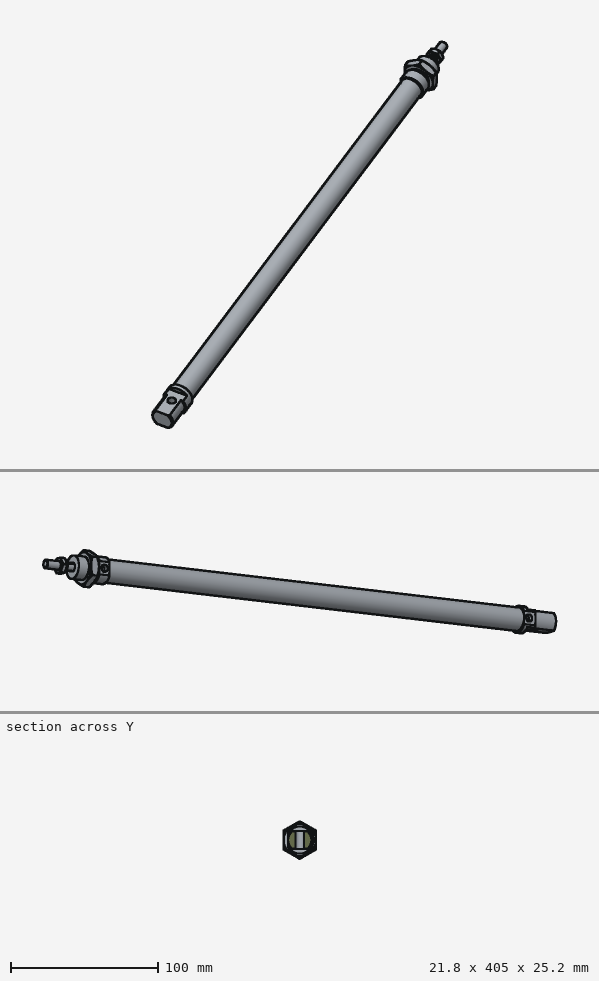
import cadquery as cq
import math

TOTAL_LENGTH = 405.0
TIP_Y = TOTAL_LENGTH / 2

ROD_DIAMETER = 6.0
ROD_TIP_CHAMFER = 0.5
ROD_THREAD_LENGTH = 16.0
ROD_RELIEF_LENGTH = 1.2
ROD_RELIEF_DIAMETER = 5.3
ROD_FLATS_WIDTH = 5.0
ROD_FLATS_FROM_TIP = ROD_THREAD_LENGTH
ROD_FLATS_LENGTH = 4.5
ROD_FLATS_TILT = 25.0

ROD_NUT_FROM_TIP = 10.5
ROD_NUT_THICKNESS = 3.5
ROD_NUT_ACROSS_FLATS = 10.0
ROD_NUT_CORNER_ANGLE = 0.0

NOSE_FROM_TIP = 22.0
NOSE_DIAMETER = 16.0
TUBE_DIAMETER = 16.0
COLLAR_DIAMETER = 18.5
FRONT_COLLAR_FROM_TIP = 38.5
FRONT_COLLAR_LENGTH = 8.0
REAR_COLLAR_FROM_TIP = 378.5
REAR_COLLAR_LENGTH = 9.5

TAIL_FROM_TIP = REAR_COLLAR_FROM_TIP + REAR_COLLAR_LENGTH
TAIL_DIAMETER = NOSE_DIAMETER
TAIL_CHAMFER = 1.0
TAIL_FLATS_WIDTH = 12.0
TAIL_FLATS_FROM_TIP = 382.5
TAIL_HOLE_DIAMETER = 5.5
TAIL_HOLE_FROM_TIP = 391.2

PORT_FACE_X = -TUBE_DIAMETER / 2
PORT_DIAMETER = 5.0
PORT_DEPTH = 4.0
FRONT_PORT_FROM_TIP = FRONT_COLLAR_FROM_TIP + FRONT_COLLAR_LENGTH / 2
REAR_PORT_FROM_TIP = 382.7

MOUNTING_NUT_FROM_TIP = 30.0
MOUNTING_NUT_THICKNESS = 6.0
MOUNTING_NUT_WALL = 2.9
MOUNTING_NUT_ACROSS_FLATS = NOSE_DIAMETER + 2 * MOUNTING_NUT_WALL
MOUNTING_NUT_CORNER_ANGLE = 90.0

HEXAGON_SIDES = 6
NUT_CHAMFER_ANGLE = 30.0


def cross_section(from_tip):
    """Workplane across the axis; extrusion from it runs towards the tail."""
    return cq.Workplane("XZ", origin=(0, TIP_Y - from_tip, 0))


def cylinder(from_tip, length, diameter):
    return cross_section(from_tip).circle(diameter / 2).extrude(length)


def block(from_tip, length, width_x, width_z):
    return cross_section(from_tip).rect(width_x, width_z).extrude(length)


def make_nut(from_tip, thickness, across_flats, bore_diameter, corner_angle):
    """Hexagon nut with both ends turned to a cone; one corner lies at corner_angle from +X."""
    flat_radius = across_flats / 2
    corner_radius = flat_radius / math.cos(math.pi / HEXAGON_SIDES)
    chamfer_height = (corner_radius - flat_radius) * math.tan(math.radians(NUT_CHAMFER_ANGLE))
    hexagon = (
        cross_section(from_tip)
        .transformed(rotate=(0, 0, corner_angle))
        .polygon(HEXAGON_SIDES, 2 * corner_radius)
        .extrude(thickness)
    )
    front_y = TIP_Y - from_tip
    back_y = front_y - thickness
    turned_envelope = (
        cq.Workplane("XY")
        .moveTo(0, front_y)
        .lineTo(flat_radius, front_y)
        .lineTo(corner_radius, front_y - chamfer_height)
        .lineTo(corner_radius, back_y + chamfer_height)
        .lineTo(flat_radius, back_y)
        .lineTo(0, back_y)
        .close()
        .revolve(360, (0, 0, 0), (0, 1, 0))
    )
    bore = cylinder(from_tip, thickness, bore_diameter)
    return hexagon.intersect(turned_envelope).cut(bore)


def make_rod():
    """Threaded rod end, relief groove and wrench flats, ending on the nose of the body."""
    rod = cylinder(0, NOSE_FROM_TIP, ROD_DIAMETER).faces(">Y").chamfer(ROD_TIP_CHAMFER)
    relief_from_tip = ROD_THREAD_LENGTH - ROD_RELIEF_LENGTH

    relief = cylinder(relief_from_tip, ROD_RELIEF_LENGTH, ROD_DIAMETER).cut(
        cylinder(relief_from_tip, ROD_RELIEF_LENGTH, ROD_RELIEF_DIAMETER)
    )

    flats = (
        block(ROD_FLATS_FROM_TIP, ROD_FLATS_LENGTH, ROD_DIAMETER, ROD_DIAMETER)
        .cut(block(ROD_FLATS_FROM_TIP, ROD_FLATS_LENGTH, ROD_DIAMETER, ROD_FLATS_WIDTH))
        .rotate((0, 0, 0), (0, 1, 0), -ROD_FLATS_TILT)
    )
    return rod.cut(relief).cut(flats)


def cut_port(body, collar_from_tip, collar_length, port_from_tip):
    """Flat face across a collar with a blind round port in it."""
    face_depth = COLLAR_DIAMETER / 2 + PORT_FACE_X
    face_cut = block(collar_from_tip, collar_length, face_depth, COLLAR_DIAMETER).translate(
        (PORT_FACE_X - face_depth / 2, 0, 0)
    )
    port = (
        cq.Workplane("YZ", origin=(PORT_FACE_X, TIP_Y - port_from_tip, 0))
        .circle(PORT_DIAMETER / 2)
        .extrude(PORT_DEPTH)
    )
    return body.cut(face_cut).cut(port)


def make_body():
    """One solid: nose, collars, tube and flattened tail, with the ports and cross hole."""
    nose = cylinder(NOSE_FROM_TIP, FRONT_COLLAR_FROM_TIP - NOSE_FROM_TIP, NOSE_DIAMETER)
    front_collar = cylinder(FRONT_COLLAR_FROM_TIP, FRONT_COLLAR_LENGTH, COLLAR_DIAMETER)
    tube_from_tip = FRONT_COLLAR_FROM_TIP + FRONT_COLLAR_LENGTH
    tube = cylinder(tube_from_tip, REAR_COLLAR_FROM_TIP - tube_from_tip, TUBE_DIAMETER)
    rear_collar = cylinder(REAR_COLLAR_FROM_TIP, REAR_COLLAR_LENGTH, COLLAR_DIAMETER)
    tail = (
        cylinder(TAIL_FROM_TIP, TOTAL_LENGTH - TAIL_FROM_TIP, TAIL_DIAMETER)
        .faces("<Y")
        .chamfer(TAIL_CHAMFER)
    )
    body = nose.union(front_collar).union(tube).union(rear_collar).union(tail)

    flats_length = TOTAL_LENGTH - TAIL_FLATS_FROM_TIP
    flats = block(TAIL_FLATS_FROM_TIP, flats_length, COLLAR_DIAMETER, COLLAR_DIAMETER).cut(
        block(TAIL_FLATS_FROM_TIP, flats_length, COLLAR_DIAMETER, TAIL_FLATS_WIDTH)
    )
    cross_hole = (
        cq.Workplane("XY", origin=(0, TIP_Y - TAIL_HOLE_FROM_TIP, 0))
        .circle(TAIL_HOLE_DIAMETER / 2)
        .extrude(TAIL_FLATS_WIDTH, both=True)
    )
    body = body.cut(flats).cut(cross_hole)

    body = cut_port(body, FRONT_COLLAR_FROM_TIP, FRONT_COLLAR_LENGTH, FRONT_PORT_FROM_TIP)
    return cut_port(body, REAR_COLLAR_FROM_TIP, REAR_COLLAR_LENGTH, REAR_PORT_FROM_TIP)


body = make_body()
rod = make_rod()
rod_nut = make_nut(
    ROD_NUT_FROM_TIP,
    ROD_NUT_THICKNESS,
    ROD_NUT_ACROSS_FLATS,
    ROD_DIAMETER,
    ROD_NUT_CORNER_ANGLE,
)
mounting_nut = make_nut(
    MOUNTING_NUT_FROM_TIP,
    MOUNTING_NUT_THICKNESS,
    MOUNTING_NUT_ACROSS_FLATS,
    NOSE_DIAMETER,
    MOUNTING_NUT_CORNER_ANGLE,
)

result = cq.Compound.makeCompound([body.val(), rod.val(), rod_nut.val(), mounting_nut.val()])